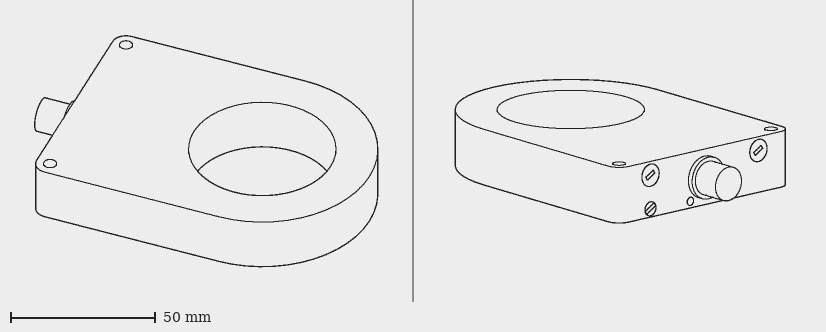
import cadquery as cq

total_length = 122.5
housing_width = 80.0
housing_height = 20.0

connector_length = 12.5
flange_thickness = 2.0
flange_diameter = 15.0
plug_diameter = 12.0

housing_length = total_length - connector_length
nose_radius = housing_width / 2
nose_center_x = housing_length - nose_radius
corner_radius = 5.0
ring_hole_diameter = 51.0
mounting_hole_diameter = 4.5

detail_depth = 0.1
adjuster_diameter = 8.0
adjuster_y = 24.9
adjuster_z = 5.0
adjuster_slot_length = 3.9
slot_width = 1.3
slot_angle = 30.0
screw_diameter = 5.0
screw_z = -7.0
lamp_diameter = 3.0
lamp_y = 6.5
lamp_z = -7.6


def face_plane(y, z):
    """Plane on the -X face, facing outward, with local X along -Y."""
    return cq.Plane(origin=(0, y, z), xDir=(0, -1, 0), normal=(-1, 0, 0))


def face_recess(y, z, diameter):
    """Cutter for a shallow round recess in the -X face."""
    return cq.Workplane(face_plane(y, z)).circle(diameter / 2).extrude(-detail_depth)


def face_slot(y, z, length):
    """Cutter for a tilted driver slot, one detail depth below a recess floor."""
    slot = cq.Workplane(face_plane(y, z)).transformed(rotate=(0, 0, slot_angle))
    return slot.rect(length, slot_width).extrude(-2 * detail_depth)


def make_housing():
    """Plate with a round nose, a ring hole, mounting holes and face details."""
    half_width = housing_width / 2
    body = (
        cq.Workplane("XY")
        .workplane(offset=-housing_height / 2)
        .moveTo(0, -half_width)
        .lineTo(nose_center_x, -half_width)
        .threePointArc((housing_length, 0), (nose_center_x, half_width))
        .lineTo(0, half_width)
        .close()
        .extrude(housing_height)
        .edges("|Z and <X")
        .fillet(corner_radius)
    )

    ring_hole = (
        cq.Workplane("XY")
        .center(nose_center_x, 0)
        .circle(ring_hole_diameter / 2)
        .extrude(housing_height, both=True)
    )
    body = body.cut(ring_hole)

    hole_y = half_width - corner_radius
    mounting_holes = (
        cq.Workplane("XY")
        .pushPoints([(corner_radius, -hole_y), (corner_radius, hole_y)])
        .circle(mounting_hole_diameter / 2)
        .extrude(housing_height, both=True)
    )
    body = body.cut(mounting_holes)

    for y in (-adjuster_y, adjuster_y):
        body = body.cut(face_recess(y, adjuster_z, adjuster_diameter))
        body = body.cut(face_slot(y, adjuster_z, adjuster_slot_length))

    screw_recess = face_recess(adjuster_y, screw_z, screw_diameter)
    screw_round = cq.Workplane(face_plane(adjuster_y, screw_z)).circle(screw_diameter / 2)
    screw_slot = face_slot(adjuster_y, screw_z, screw_diameter).intersect(
        screw_round.extrude(-2 * detail_depth)
    )
    body = body.cut(screw_recess).cut(screw_slot)

    return body.cut(face_recess(lamp_y, lamp_z, lamp_diameter))


def make_connector():
    """Round plug with a thin flange seated on the -X face."""
    flange = cq.Workplane(face_plane(0, 0)).circle(flange_diameter / 2).extrude(flange_thickness)
    plug = cq.Workplane(face_plane(0, 0)).circle(plug_diameter / 2).extrude(connector_length)
    return flange.union(plug)


housing = make_housing()
connector = make_connector()

result = cq.Compound.makeCompound([housing.val(), connector.val()])